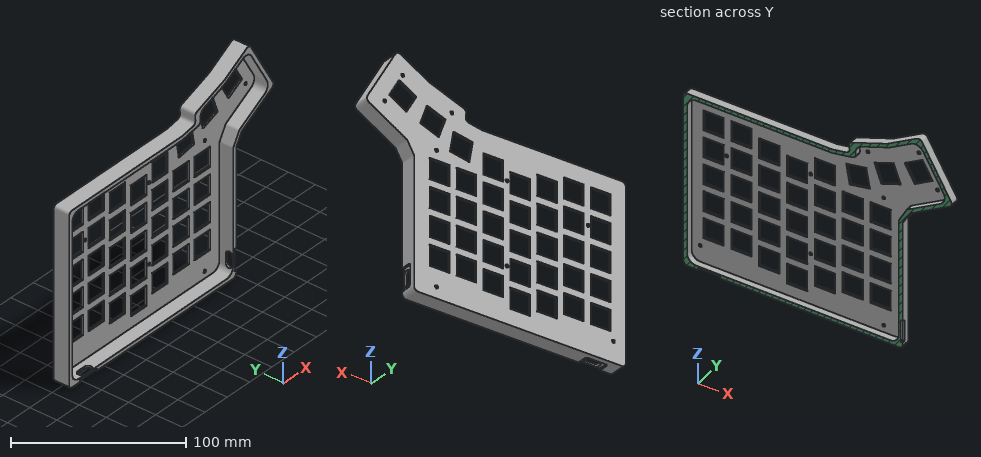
import cadquery as cq
import math

case_width = 183.2
case_height = 152.5
case_depth = 11.5
plate_thickness = 1.5
wall = 3.0
notch_wall = 4.0
outer_radius = 3.0
inner_radius = 5.9

main_width = 149.8
main_height = 121.6
main_right_height = 88.8
thumb_end_length = 45.2
thumb_tilt = 30.0
middle_tilt = 20.0
shoulder_tilt = 10.0
shoulder_start_x = 101.5
shoulder_end_x = 113.8
notch_length = 7.1

key_size = 14.0
first_column_x = 17.8
column_span = 114.0
column_bottoms = (27.3, 27.3, 22.7, 18.0, 23.8, 27.0, 27.0)
column_key_counts = (5, 5, 5, 5, 5, 4, 4)
key_pitch = column_span / (len(column_bottoms) - 1)
thumb_keys = (
    (116.3, 105.7, shoulder_tilt),
    (136.5, 115.6, middle_tilt),
    (157.7, 125.1, thumb_tilt),
)

screw_diameter = 2.0
screw_places = (
    (8.8, 14.3),
    (26.7, 84.5),
    (84.0, 38.3),
    (84.0, 94.3),
    (134.0, 7.7),
    (134.0, 97.5),
    (123.1, 125.7),
    (158.0, 138.7),
    (170.5, 117.6),
)

port_length = 11.0
port_height = 5.1
port_y = 3.0
recess_length = 15.2
recess_depth = 1.3
recess_corner_radius = 1.5
bottom_port_x = 17.5
right_port_z = 12.0


def along(point, angle, length):
    """The point reached from `point` by going `length` in direction `angle` (degrees)."""
    turn = math.radians(angle)
    return (point[0] + length * math.cos(turn), point[1] + length * math.sin(turn))


def crossing(point_a, angle_a, point_b, angle_b):
    """Where two lines meet, each given by a point and a direction (degrees)."""
    turn_a = math.radians(angle_a)
    turn_b = math.radians(angle_b)
    gap_x = point_b[0] - point_a[0]
    gap_z = point_b[1] - point_a[1]
    distance = (gap_x * math.sin(turn_b) - gap_z * math.cos(turn_b)) / math.sin(turn_b - turn_a)
    return along(point_a, angle_a, distance)


def case_corners():
    """Corners counterclockwise from the bottom left.

    Each is (sharp outer corner, outer radius, inner radius, wall of the side that follows).
    """
    tilt = math.radians(thumb_tilt)
    shortfall = outer_radius * (math.cos(tilt) + math.sin(tilt) - 1)
    thumb_right_x = case_width + shortfall
    thumb_top_x = thumb_right_x - thumb_end_length * math.sin(tilt)
    thumb_top = (thumb_top_x, case_height + shortfall)
    thumb_right = along(thumb_top, thumb_tilt - 90, thumb_end_length)

    main_right = (main_width, main_right_height)
    armpit = crossing(main_right, 90 - thumb_tilt, thumb_right, thumb_tilt)

    shoulder = (shoulder_start_x, main_height)
    shoulder_length = (shoulder_end_x - shoulder_start_x) / math.cos(math.radians(shoulder_tilt))
    notch_bottom = along(shoulder, shoulder_tilt, shoulder_length)
    notch_top = along(notch_bottom, 90 + shoulder_tilt, notch_length)
    bend = crossing(notch_top, middle_tilt, thumb_top, thumb_tilt)

    return [
        ((0, 0), outer_radius, inner_radius, wall),
        ((main_width, 0), outer_radius, inner_radius, wall),
        (main_right, outer_radius, outer_radius, wall),
        (armpit, outer_radius, outer_radius, wall),
        (thumb_right, outer_radius, inner_radius, wall),
        (thumb_top, outer_radius, inner_radius, wall),
        (bend, 0, 0, wall),
        (notch_top, outer_radius, inner_radius, notch_wall),
        (notch_bottom, outer_radius, outer_radius, wall),
        (shoulder, 0, 0, wall),
        ((0, main_height), outer_radius, inner_radius, wall),
    ]


def inset(points, distances):
    """Move each side of a counterclockwise outline inwards by its own distance."""
    angles = []
    for i, (x, z) in enumerate(points):
        next_x, next_z = points[(i + 1) % len(points)]
        angles.append(math.degrees(math.atan2(next_z - z, next_x - x)))
    moved = []
    for i, point in enumerate(points):
        on_side_before = along(point, angles[i - 1] + 90, distances[i - 1])
        on_side_after = along(point, angles[i] + 90, distances[i])
        moved.append(crossing(on_side_before, angles[i - 1], on_side_after, angles[i]))
    return moved


def rounded_block(points, radii, depth):
    """Block on an XZ outline, from Y = 0 to Y = depth, with each corner rounded by its radius."""
    block = cq.Workplane("XZ").polyline(points).close().extrude(-depth)
    for (x, z), radius in zip(points, radii):
        if radius > 0:
            corner_edge = cq.selectors.NearestToPointSelector((x, depth / 2, z))
            block = block.edges("|Y").edges(corner_edge).fillet(radius)
    return block


def tray():
    outer_points, outer_radii, inner_radii, walls = zip(*case_corners())
    inner_points = inset(outer_points, walls)
    outside = rounded_block(outer_points, outer_radii, case_depth)
    cavity = rounded_block(inner_points, inner_radii, case_depth - plate_thickness)
    return outside.cut(cavity)


def key_openings():
    """Square posts, as deep as the case, for every key."""
    places = []
    for column, bottom in enumerate(column_bottoms):
        x = first_column_x + column * key_pitch
        for row in range(column_key_counts[column]):
            places.append((x, bottom + row * key_pitch))
    posts = cq.Workplane("XZ").pushPoints(places).rect(key_size, key_size).extrude(-case_depth)
    for x, z, tilt in thumb_keys:
        post = cq.Workplane("XZ").rect(key_size, key_size).extrude(-case_depth)
        posts = posts.add(post.rotate((0, 0, 0), (0, 1, 0), -tilt).translate((x, 0, z)))
    return posts.combine()


def screw_holes():
    holes = cq.Workplane("XZ").pushPoints(screw_places)
    return holes.circle(screw_diameter / 2).extrude(-case_depth)


def port_cutter():
    """Slot and recess centred on the Z axis, cutting upwards from an outer face at Z = 0."""
    recess_height = port_height + recess_length - port_length
    recess = cq.Workplane("XY").rect(recess_length, recess_height).extrude(recess_depth)
    recess = recess.edges("|Z").fillet(recess_corner_radius)
    slot = cq.Workplane("XY").slot2D(port_length, port_height).extrude(wall + inner_radius)
    return recess.union(slot)


bottom_port = port_cutter().translate((bottom_port_x, port_y, 0))
right_port = port_cutter().rotate((0, 0, 0), (0, 1, 0), -90)
right_port = right_port.translate((main_width, port_y, right_port_z))

result = tray().cut(key_openings()).cut(screw_holes()).cut(bottom_port).cut(right_port)